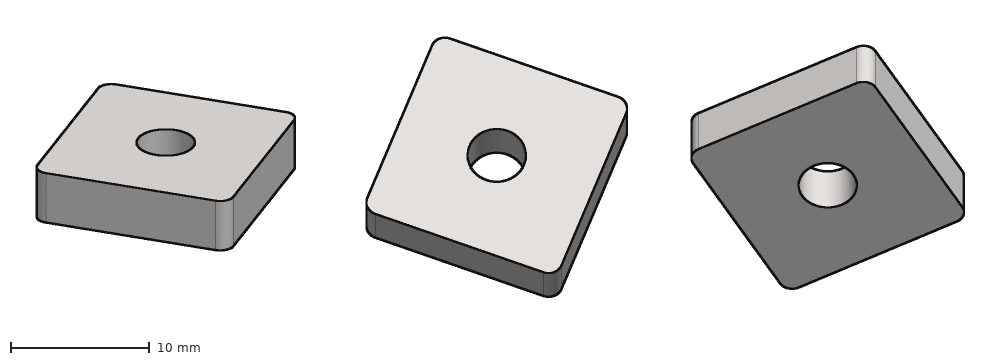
import cadquery as cq

side = 15.0
thickness = 4.0
corner_radius = 1.0
hole_diameter = 4.2

plate = cq.Workplane("XY").rect(side, side).extrude(thickness)
rounded_plate = plate.edges("|Z").fillet(corner_radius)

result = rounded_plate.faces(">Z").workplane().hole(hole_diameter)